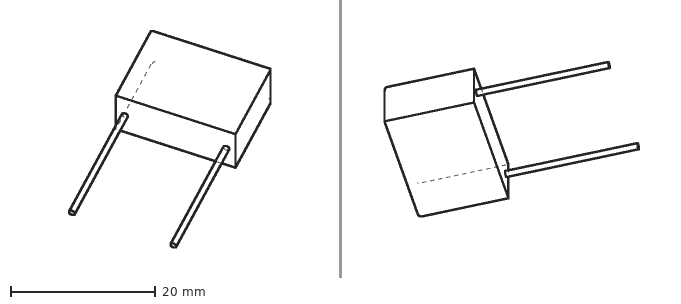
import cadquery as cq

BODY_WIDTH = 18.0
BODY_HEIGHT = 7.3
BODY_LENGTH = 13.0
END_ROUNDING = 0.5

OVERALL_LENGTH = 32.0
LEAD_LENGTH = OVERALL_LENGTH - BODY_LENGTH
LEAD_DIAMETER = 0.9
LEAD_PITCH = 15.23


def make_body():
    """Box behind the XZ plane, rounded on the four edges of its far end."""
    box = cq.Workplane("XY").box(BODY_WIDTH, BODY_LENGTH, BODY_HEIGHT, centered=(True, False, True))
    return box.faces(">Y").edges().fillet(END_ROUNDING)


def make_lead(x):
    """Round lead that starts on the flat end face and runs toward -Y."""
    return cq.Workplane("XZ").center(x, 0).circle(LEAD_DIAMETER / 2).extrude(LEAD_LENGTH)


body = make_body()

leads = []
for side in (-1, 1):
    leads.append(make_lead(side * LEAD_PITCH / 2).val())

result = cq.Compound.makeCompound([body.val(), *leads])